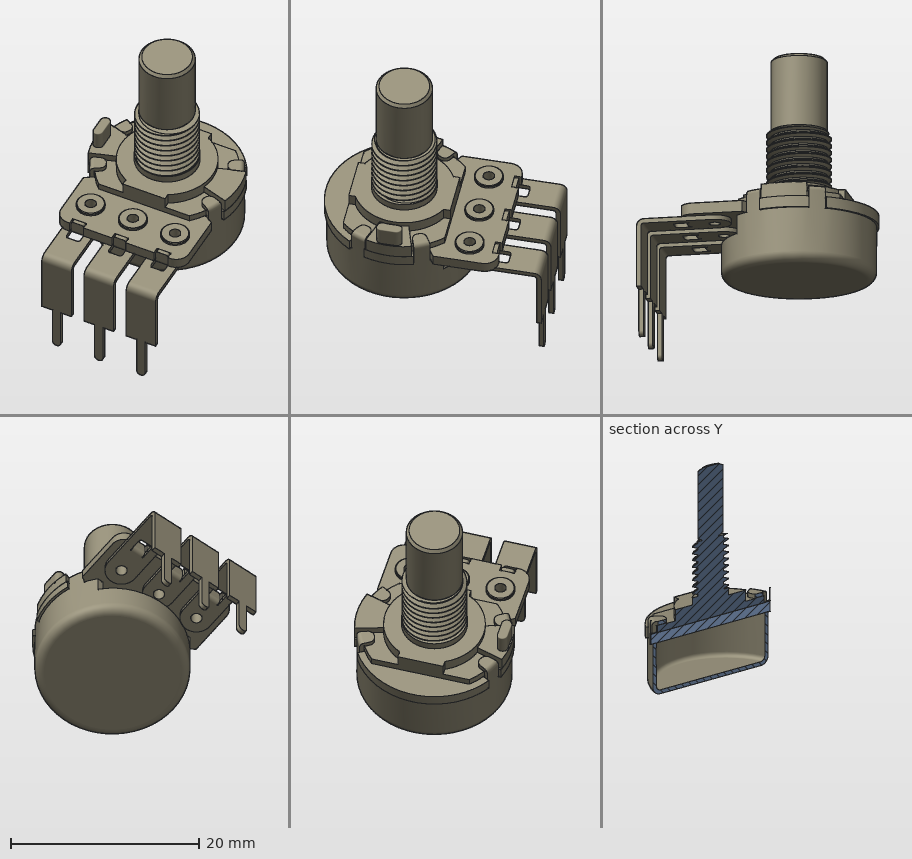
import cadquery as cq
import math


overall_height = 30.9
board_thickness = 1.2
sheet = 0.5
plate_thickness = 0.75
pad_height = 2.0
wing_height = 1.5
index_pin_height = 3.52
plate_top = board_thickness + plate_thickness
pad_top = board_thickness + pad_height
wing_top = board_thickness + wing_height
collar_top = 4.02
thread_top = 10.2
shaft_top = 18.42

board_radius = 8.5
board_half_width = 7.6
board_front = -11.5
board_corner_radius = 1.5

can_radius = 8.25
can_inner_radius = can_radius - sheet
can_depth = 5.87
can_bottom_radius = 1.0
can_window_height = 2.0
tab_angle = 25.0
notch_reach = 12.35
tab_tip = 6.45
notch_half_angle = 6.6
tab_half_angle = 6.2
tab_corner_radius = 0.68

plate_radius = 7.7
plate_flat = 5.5
pad_radius = 5.4
pad_bridge_width = 5.0
wing_half_angle = 17.0
index_pin_x = -7.75
index_pin_length = 2.75
index_pin_width = 1.15
index_pin_edge_radius = 0.1

collar_diameter = 7.0
thread_root_diameter = 6.05
thread_crest_diameter = 6.92
thread_turns = 8
thread_turns_height = 6.0
thread_pitch = thread_turns_height / thread_turns
thread_phase = 3.45
thread_crest_width = thread_pitch / 8
thread_base_width = thread_pitch * 7 / 8
thread_embed = 0.05
shaft_diameter = 6.0
shaft_chamfer = 0.3

terminal_pitch = 5.0
terminal_width = 3.52
terminal_front = -16.25
terminal_bend_radius = 0.8
blade_bottom = -7.42
pin_bottom = shaft_top - overall_height
pin_width = 1.0
eyelet_y = -8.13
eyelet_hole = 1.2
eyelet_barrel = 2.0
eyelet_flange = 3.1
eyelet_flange_height = 0.3
eyelet_flange_chamfer = 0.1
lug_width = 1.5
lug_notch_width = 1.65
lug_back = -10.75
lug_corner_radius = 0.3
lug_bend_radius = 0.45
window_front = -12.48

terminal_positions = [index * terminal_pitch for index in (-1, 0, 1)]
tab_directions = [tab_angle, 180 - tab_angle, 180 + tab_angle, 360 - tab_angle]


def cylinder(diameter, bottom, top):
    return cq.Workplane("XY").workplane(offset=bottom).circle(diameter / 2).extrude(top - bottom)


def block(x_range, y_range, z_range):
    size = [high - low for low, high in (x_range, y_range, z_range)]
    corner = (x_range[0], y_range[0], z_range[0])
    return cq.Workplane("XY").box(*size, centered=False).translate(corner)


def sector(radius, direction, half_angle, bottom, top):
    """Pie slice about the Z axis, centred on a direction in degrees."""
    def rim(angle):
        return radius * math.cos(math.radians(angle)), radius * math.sin(math.radians(angle))

    return (
        cq.Workplane("XY").workplane(offset=bottom)
        .lineTo(*rim(direction - half_angle))
        .threePointArc(rim(direction), rim(direction + half_angle))
        .close()
        .extrude(top - bottom)
    )


def make_lug():
    """Tongue bent up out of a terminal strip, with rounded upper corners and a rounded bend."""
    half = lug_width / 2
    return (
        block((-half, half), (lug_back - sheet, lug_back), (-sheet, board_thickness))
        .edges("|Y and >Z").fillet(lug_corner_radius)
        .edges("|X and <Z and <Y").fillet(lug_bend_radius)
    )


def make_board():
    board = cylinder(2 * board_radius, 0, board_thickness)
    apron = (
        block((-board_half_width, board_half_width), (board_front, 0), (0, board_thickness))
        .edges("|Z and <Y").fillet(board_corner_radius)
    )
    board = board.union(apron)
    for direction in tab_directions:
        notch = sector(notch_reach, direction, notch_half_angle, 0, board_thickness)
        board = board.cut(notch.cut(cylinder(2 * can_inner_radius, 0, board_thickness)))
    half = lug_notch_width / 2
    for x in terminal_positions:
        board = board.cut(cylinder(eyelet_barrel, 0, board_thickness).translate((x, eyelet_y, 0)))
        board = board.cut(block((x - half, x + half), (board_front, lug_back), (0, board_thickness)))
    return board


def tab_outline(direction, top):
    """Plan of one can tab as a prism: a sector with a rounded inner tip."""
    outline = (
        sector(notch_reach, direction, tab_half_angle, 0, top)
        .cut(cylinder(2 * tab_tip, 0, top))
    )
    for side in (-1, 1):
        angle = math.radians(direction + side * tab_half_angle)
        corner = (tab_tip * math.cos(angle), tab_tip * math.sin(angle), top / 2)
        outline = outline.edges(cq.selectors.NearestToPointSelector(corner)).fillet(tab_corner_radius)
    return outline


def make_can():
    can = cylinder(2 * can_radius, -can_depth, 0).faces("<Z").edges().fillet(can_bottom_radius)
    cavity = (
        cylinder(2 * can_inner_radius, sheet - can_depth, 0)
        .faces("<Z").edges().fillet(can_bottom_radius - sheet)
    )
    window = block((-can_radius, can_radius), (-can_radius, -plate_flat), (-can_window_height, 0))
    can = can.cut(cavity).cut(window)

    rim_top = plate_top + sheet
    rim = cylinder(2 * can_radius, 0, rim_top).faces(">Z").edges().fillet(sheet)
    rim = rim.cut(cylinder(2 * can_inner_radius, 0, plate_top))
    for direction in tab_directions:
        can = can.union(rim.intersect(tab_outline(direction, rim_top)))
    return can


def make_thread():
    """Right-handed helical ridge between the collar and the end of the bushing."""
    root = thread_root_diameter / 2 - thread_embed
    crest = thread_crest_diameter / 2
    helix = cq.Wire.makeHelix(thread_pitch, thread_top + thread_pitch - thread_phase, root)
    ridge = (
        cq.Workplane("XZ")
        .polyline([
            (root, -thread_base_width / 2),
            (crest, -thread_crest_width / 2),
            (crest, thread_crest_width / 2),
            (root, thread_base_width / 2),
        ])
        .close()
        .sweep(cq.Workplane(helix), isFrenet=True)
        .translate((0, 0, thread_phase))
    )
    return ridge.intersect(cylinder(2 * collar_diameter, collar_top, thread_top))


def make_bushing_and_shaft():
    slab = block((-board_radius, board_radius), (-plate_flat, plate_flat),
                 (board_thickness, pad_top))
    plate = cylinder(2 * plate_radius, board_thickness, plate_top).intersect(slab)
    pad = cylinder(2 * pad_radius, board_thickness, pad_top)
    bridge_half = pad_bridge_width / 2
    bridge = block((-bridge_half, bridge_half), (-plate_flat, plate_flat),
                   (board_thickness, pad_top))
    body = plate.union(pad).union(bridge)
    for direction in (0, 180):
        body = body.union(sector(board_radius, direction, wing_half_angle, board_thickness, wing_top))

    index_pin = (
        cq.Workplane("XY").workplane(offset=board_thickness)
        .center(index_pin_x, 0)
        .slot2D(index_pin_length, index_pin_width, 90)
        .extrude(index_pin_height)
        .faces(">Z").edges().fillet(index_pin_edge_radius)
    )
    collar = cylinder(collar_diameter, plate_top, collar_top)
    core = cylinder(thread_root_diameter, plate_top, thread_top)
    shaft = cylinder(shaft_diameter, thread_top, shaft_top).faces("<Z or >Z").chamfer(shaft_chamfer)
    return body.union(index_pin).union(collar).union(core).union(make_thread()).union(shaft)


def make_terminal(x):
    half = terminal_width / 2
    inner_front = terminal_front + sheet

    strip = block((-half, half), (terminal_front, eyelet_y), (blade_bottom, 0))
    strip = strip.edges("|X and >Z and <Y").fillet(terminal_bend_radius)
    hollow = block((-half, half), (inner_front, eyelet_y), (blade_bottom, -sheet))
    strip = strip.cut(hollow.edges("|X and >Z and <Y").fillet(terminal_bend_radius - sheet))
    terminal = strip.union(cylinder(terminal_width, -sheet, 0).translate((0, eyelet_y, 0)))

    pin = block((-pin_width / 2, pin_width / 2), (terminal_front, inner_front),
                (pin_bottom, blade_bottom))
    tip = pin_bottom + pin_width / 2
    pin = pin.intersect(
        cq.Workplane("XZ").center(0, tip).circle(pin_width / 2).extrude(-terminal_front)
        .union(block((-pin_width, pin_width), (terminal_front, 0), (tip, blade_bottom)))
    )
    terminal = terminal.union(pin)

    window_half = lug_notch_width / 2
    window = (
        block((-window_half, window_half), (window_front, lug_back), (-sheet, 0))
        .edges("|Z and <Y").fillet(lug_corner_radius)
    )
    terminal = terminal.cut(window).union(make_lug())

    flange_top = board_thickness + eyelet_flange_height
    eyelet = (
        cylinder(eyelet_flange, board_thickness, flange_top)
        .faces(">Z").edges().chamfer(eyelet_flange_chamfer)
        .union(cylinder(eyelet_barrel, -sheet, flange_top))
    )
    terminal = terminal.union(eyelet.translate((0, eyelet_y, 0)))
    terminal = terminal.cut(cylinder(eyelet_hole, -sheet, flange_top).translate((0, eyelet_y, 0)))
    return terminal.translate((x, 0, 0))


board = make_board()
can = make_can()
bushing_and_shaft = make_bushing_and_shaft()
terminals = [make_terminal(x) for x in terminal_positions]

result = cq.Compound.makeCompound(
    [board.val(), can.val(), bushing_and_shaft.val(), *[terminal.val() for terminal in terminals]]
)